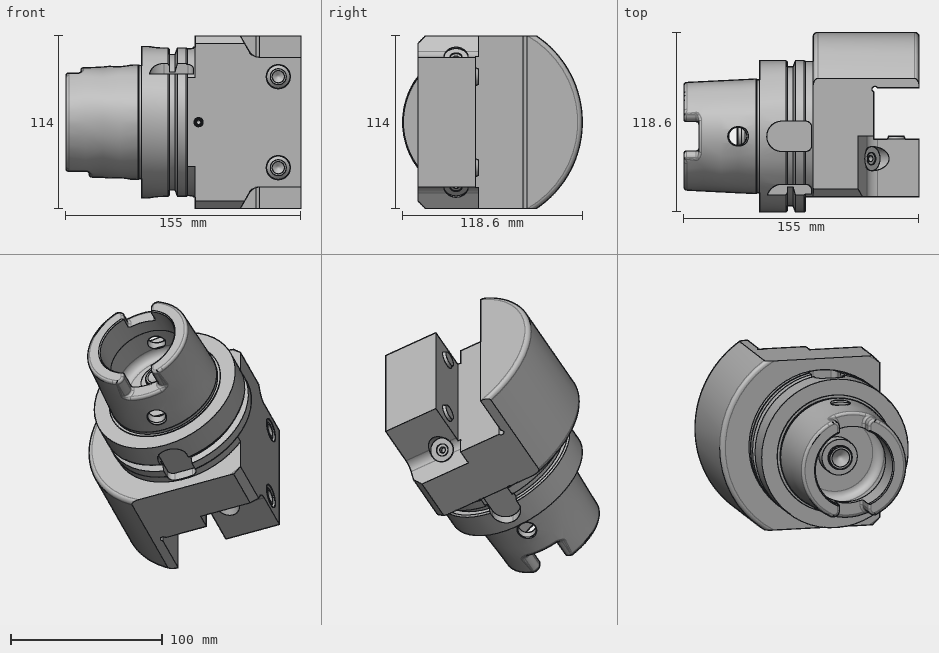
import cadquery as cq
import math


TAPER_END_RADIUS = 35.5
TAPER_LENGTH = 47.6
TAPER_SLOPE = 0.05
END_FILLET = 2.0
RELIEF_END = 48.2
RELIEF_DEPTH = 0.5
FACE_GROOVE_RADIUS = 39.4
FACE_GROOVE_DEPTH = 0.5

MOUTH_RADIUS = 26.4
MOUTH_CHAMFER = 0.8
MOUTH_LENGTH = 19.5
CAVITY_RADIUS = 31.0
CAVITY_FLOOR = 46.5
CAVITY_FILLET = 6.2

BOSS_DIAMETER = 24.0
BOSS_FACE = 37.8

ACCESS_X = 35.5
ACCESS_DIAMETER = 12.0
ACCESS_RIM_DIAMETER = 14.0
CHAMFER_CLEARANCE = 0.002

DRIVE_HALF_WIDTH = 9.6
DRIVE_WALL_TOP = 27.9
DRIVE_FLARE = 4.5
DRIVE_FLOOR_FILLET = 1.7
DRIVE_MOUTH_FILLET = 1.7
DRIVE_DEPTH_TOP = 9.8
DRIVE_DEPTH_BOTTOM = 15.2

FLANGE_START = 49.9
FLANGE_RADIUS = 49.99
FLANGE_END = 80.0
FLANGE_CHAMFER = 0.8
GROOVE_RADIUS = 45.9
GROOVE_CHAMFER = 1.1
GROOVE_START = 67.1
GROOVE_FLOOR_END = 71.9
GROOVE_END = 73.5
NECK_RADIUS = 49.5

KEYWAY_START = 54.5
KEYWAY_END = 84.2
KEYWAY_WIDTH = 20.0
KEYWAY_CORNER = 3.9
KEYWAY_FLOOR = 42.8
NOTCH_INNER = 31.6
ROUND_END_CLEARANCE = 0.002

BLOCK_START = 85.1
BLOCK_END = 155.0
BLOCK_HEIGHT = 114.0
BLOCK_FRONT = -39.8
BLOCK_RADIUS = 68.59
BLOCK_FILLET = 3.1
FRONT_CHAMFER = 5.0

TOOL_SLOT_START = 125.2
TOOL_SLOT_FRONT = -1.9
TOOL_SLOT_BACK = 32.0
CORNER_RELIEF_RADIUS = 1.9
CORNER_RELIEF_INSET = (0.6, 1.0)

STEP_START = 114.9
STEP_HEIGHT = 42.8
STEP_BACK = 0.2
STEP_SLOPE = 60.0
STEP_FILLET = 7.9

OUTLET_TILT = 46.0
OUTLET_CENTRE = (123.7, -14.7, 42.8)
OUTLET_DIAMETER = 16.0
OUTLET_REACH = 18.6
OUTLET_RECESS_DIAMETER = 8.0
OUTLET_RECESS_DEPTH = 0.8
OUTLET_BORE_DIAMETER = 4.0
OUTLET_BORE_DEPTH = 4.6

CLAMP_X = 140.0
CLAMP_SPACING = 60.0
CLAMP_RIM_DIAMETER = 16.0
CLAMP_HOLE_DIAMETER = 15.3
CLAMP_FACE_DIAMETER = 10.5
CLAMP_SOCKET_DIAMETER = 8.0
CLAMP_RIM_DEPTH = 0.3
CLAMP_FACE_DEPTH = 0.6
CLAMP_EDGE_DEPTH = 2.5
CLAMP_SOCKET_DEPTH = 3.0
CLAMP_TIP_DIAMETER = 12.0
CLAMP_TIP_LENGTH = 2.0
CLAMP_TIP_TAPER = 25.0

STOP_X = 87.4
STOP_RIM_DIAMETER = 6.0
STOP_FACE_DIAMETER = 5.3
STOP_SOCKET_DIAMETER = 4.3
STOP_SOCKET_FLOOR_DIAMETER = 3.0
STOP_FACE_DEPTH = 0.5
STOP_SOCKET_DEPTH = 1.5
STOP_POINT_DEPTH = 2.3

PLUG_START = 34.9
PLUG_LENGTH = 15.5
PLUG_DIAMETER = 16.0
PLUG_CHAMFER = 0.6
PLUG_SOCKET_DIAMETER = 12.0
PLUG_SOCKET_DEPTH = 3.5

OVERCUT = 7.8
PICK_MARGIN = 0.2
HALF_HEIGHT = BLOCK_HEIGHT / 2


def turned(points):
    """Solid of revolution about X from (x, radius) points."""
    return cq.Workplane("XY").polyline(points).close().revolve(360, (0, 0, 0), (1, 0, 0))


def turned_down(x, z, points):
    """Solid of revolution, sunk in the block's front face, from (radius, depth) points."""
    profile = [(radius, -depth) for radius, depth in points]
    solid = cq.Workplane("XY").polyline(profile).close().revolve(360, (0, 0, 0), (0, 1, 0))
    return solid.rotate((0, 0, 0), (0, 0, 1), 180).translate((x, BLOCK_FRONT, z))


def both_sides(body):
    """The body together with its mirror image below the XY plane."""
    return body.union(body.mirror("XY"))


def drive_slot(depth):
    """Slot across the shank end whose walls flare outward in arcs."""
    side = DRIVE_HALF_WIDTH + DRIVE_FLARE
    flare_top = DRIVE_WALL_TOP + DRIVE_FLARE
    bend = DRIVE_FLARE * math.sqrt(0.5)
    bend_y = side - bend
    bend_z = DRIVE_WALL_TOP + bend
    outside = TAPER_END_RADIUS + OVERCUT
    slot = (
        cq.Workplane("YZ")
        .moveTo(-DRIVE_HALF_WIDTH, 0)
        .lineTo(DRIVE_HALF_WIDTH, 0)
        .lineTo(DRIVE_HALF_WIDTH, DRIVE_WALL_TOP)
        .threePointArc((bend_y, bend_z), (side, flare_top))
        .lineTo(outside, flare_top)
        .lineTo(outside, outside)
        .lineTo(-outside, outside)
        .lineTo(-outside, flare_top)
        .lineTo(-side, flare_top)
        .threePointArc((-bend_y, bend_z), (-DRIVE_HALF_WIDTH, DRIVE_WALL_TOP))
        .close()
        .extrude(depth)
    )
    return slot.faces(">X").edges().fillet(DRIVE_FLOOR_FILLET)


def shank_blank():
    """Taper shank and grooved flange, turned as one solid piece."""
    taper_radius = TAPER_END_RADIUS + TAPER_SLOPE * TAPER_LENGTH
    relief_radius = taper_radius - RELIEF_DEPTH
    face_groove_floor = FLANGE_START + FACE_GROOVE_DEPTH
    return turned([
        (0, 0),
        (0, TAPER_END_RADIUS),
        (TAPER_LENGTH, taper_radius),
        (RELIEF_END, relief_radius),
        (face_groove_floor, relief_radius),
        (face_groove_floor, FACE_GROOVE_RADIUS),
        (FLANGE_START, FACE_GROOVE_RADIUS),
        (FLANGE_START, FLANGE_RADIUS),
        (GROOVE_START, FLANGE_RADIUS),
        (GROOVE_START + GROOVE_CHAMFER, FLANGE_RADIUS - GROOVE_CHAMFER),
        (GROOVE_START + GROOVE_CHAMFER, GROOVE_RADIUS),
        (GROOVE_FLOOR_END, GROOVE_RADIUS),
        (GROOVE_END, FLANGE_RADIUS),
        (FLANGE_END - FLANGE_CHAMFER, FLANGE_RADIUS),
        (FLANGE_END, NECK_RADIUS),
        (FLANGE_END, 0),
    ])


def bore():
    """Bore with a wider cavity behind the mouth; a boss is left standing on the cavity floor."""
    mouth = turned([
        (0, 0),
        (0, MOUTH_RADIUS + MOUTH_CHAMFER),
        (MOUTH_CHAMFER, MOUTH_RADIUS),
        (MOUTH_LENGTH, MOUTH_RADIUS),
        (MOUTH_LENGTH, 0),
    ])
    cavity = (
        cq.Workplane("YZ", origin=(MOUTH_LENGTH, 0, 0))
        .circle(CAVITY_RADIUS)
        .extrude(CAVITY_FLOOR - MOUTH_LENGTH)
        .faces(">X").edges().fillet(CAVITY_FILLET)
    )
    boss = (
        cq.Workplane("YZ", origin=(BOSS_FACE, 0, 0))
        .circle(BOSS_DIAMETER / 2)
        .extrude(CAVITY_FLOOR - BOSS_FACE)
    )
    return mouth.union(cavity).cut(boss)


def access_hole():
    """Radial hole with a chamfered rim, reaching from the taper to the cavity radius."""
    surface = TAPER_END_RADIUS + TAPER_SLOPE * ACCESS_X
    hole_radius = ACCESS_DIAMETER / 2
    rim_radius = ACCESS_RIM_DIAMETER / 2
    rim_bottom = surface - (rim_radius - hole_radius)
    rim_top = surface + OVERCUT
    hole = cq.Workplane("XY").circle(hole_radius).extrude(rim_top)
    rim = (
        cq.Workplane("XY", origin=(0, 0, rim_bottom))
        .circle(rim_radius)
        .extrude(rim_top - rim_bottom)
        .faces("<Z").chamfer(rim_radius - hole_radius - CHAMFER_CLEARANCE)
    )
    hole = hole.union(rim).translate((ACCESS_X, 0, 0))
    core = cq.Workplane("YZ").circle(CAVITY_RADIUS).extrude(BLOCK_START)
    return hole.cut(core)


def keyway(centre_y, floor):
    """Milled keyway with a round left end and small corners at the right end."""
    length = KEYWAY_END - KEYWAY_START
    round_end = KEYWAY_WIDTH / 2 - ROUND_END_CLEARANCE
    return (
        cq.Workplane("XY", origin=(KEYWAY_START, centre_y, floor))
        .rect(length, KEYWAY_WIDTH, centered=(False, True))
        .extrude(FLANGE_RADIUS + OVERCUT - floor)
        .edges("|Z and <X").fillet(round_end)
        .edges("|Z and >X").fillet(KEYWAY_CORNER)
    )


def shank():
    """Hollow taper shank with its flange, drive slots and access holes."""
    slot_half = DRIVE_HALF_WIDTH + DRIVE_FLARE
    slot_rims = cq.selectors.BoxSelector(
        (-PICK_MARGIN, -slot_half, -FLANGE_RADIUS), (PICK_MARGIN, slot_half, FLANGE_RADIUS)
    )
    outer_rim = cq.selectors.RadiusNthSelector(-1)
    body = shank_blank()
    body = body.cut(drive_slot(DRIVE_DEPTH_TOP))
    body = body.cut(drive_slot(DRIVE_DEPTH_BOTTOM).mirror("XY"))
    body = body.edges(slot_rims).fillet(DRIVE_MOUTH_FILLET)
    body = body.faces("<X").edges("%CIRCLE").edges(outer_rim).fillet(END_FILLET)
    body = body.cut(both_sides(access_hole()))
    return body.cut(bore())


def block_blank():
    """Rectangular bar with chamfered front edges, turned round at the back and the ends."""
    length = BLOCK_END - BLOCK_START
    depth = BLOCK_RADIUS - BLOCK_FRONT
    bar = (
        cq.Workplane("XY", origin=(BLOCK_START, BLOCK_FRONT, 0))
        .box(length, depth, BLOCK_HEIGHT, centered=(False, False, True))
        .edges("|X and <Y").chamfer(FRONT_CHAMFER)
    )
    turned_bar = (
        cq.Workplane("YZ", origin=(BLOCK_START, 0, 0))
        .circle(BLOCK_RADIUS)
        .extrude(length)
        .edges().fillet(BLOCK_FILLET)
    )
    return bar.intersect(turned_bar)


def neck():
    """Round neck behind the flange, cut flush with the block's front face."""
    length = BLOCK_START - FLANGE_END
    cylinder = cq.Workplane("YZ", origin=(FLANGE_END, 0, 0)).circle(NECK_RADIUS).extrude(length)
    keep = cq.Workplane("XY", origin=(FLANGE_END, BLOCK_FRONT, 0)).box(
        length, 2 * NECK_RADIUS, 2 * NECK_RADIUS, centered=(False, False, True)
    )
    return cylinder.intersect(keep)


def tool_slot():
    """Slot through the full height, with a round relief in its back inner corner."""
    slot = (
        cq.Workplane("XY", origin=(0, 0, -HALF_HEIGHT))
        .moveTo(TOOL_SLOT_START, TOOL_SLOT_FRONT)
        .lineTo(BLOCK_END, TOOL_SLOT_FRONT)
        .lineTo(BLOCK_END, TOOL_SLOT_BACK)
        .lineTo(TOOL_SLOT_START, TOOL_SLOT_BACK)
        .close()
        .extrude(BLOCK_HEIGHT)
    )
    inset_x, inset_y = CORNER_RELIEF_INSET
    relief = (
        cq.Workplane("XY", origin=(0, 0, -HALF_HEIGHT))
        .center(TOOL_SLOT_START + inset_x, TOOL_SLOT_BACK - inset_y)
        .circle(CORNER_RELIEF_RADIUS)
        .extrude(BLOCK_HEIGHT)
    )
    return slot.union(relief)


def jaw_step():
    """Step with a steep slope that runs into its floor in a fillet."""
    drop = HALF_HEIGHT - STEP_HEIGHT
    slope_foot = STEP_START + drop / math.tan(math.radians(STEP_SLOPE))
    return (
        cq.Workplane("XZ", origin=(0, STEP_BACK, 0))
        .moveTo(STEP_START, HALF_HEIGHT)
        .lineTo(slope_foot, STEP_HEIGHT)
        .lineTo(BLOCK_END, STEP_HEIGHT)
        .lineTo(BLOCK_END, HALF_HEIGHT)
        .close()
        .extrude(STEP_BACK - BLOCK_FRONT)
        .edges(cq.selectors.NearestToPointSelector((slope_foot, BLOCK_FRONT / 2, STEP_HEIGHT)))
        .fillet(STEP_FILLET)
    )


def coolant_outlet():
    """Tilted spot face with a shallow recess and a small bore in its floor."""
    spot = cq.Workplane("XY").circle(OUTLET_DIAMETER / 2).extrude(OUTLET_REACH)
    recess = cq.Workplane("XY").circle(OUTLET_RECESS_DIAMETER / 2).extrude(-OUTLET_RECESS_DEPTH)
    passage = cq.Workplane("XY").circle(OUTLET_BORE_DIAMETER / 2).extrude(-OUTLET_BORE_DEPTH)
    outlet = spot.union(recess).union(passage)
    return outlet.rotate((0, 0, 0), (0, 1, 0), OUTLET_TILT).translate(OUTLET_CENTRE)


def clamp_socket(z):
    """Sunk clamp end: a hole rim, a bevelled screw end and its conical socket."""
    return turned_down(CLAMP_X, z, [
        (0, 0),
        (CLAMP_RIM_DIAMETER / 2, 0),
        (CLAMP_HOLE_DIAMETER / 2, CLAMP_RIM_DEPTH),
        (CLAMP_HOLE_DIAMETER / 2, CLAMP_EDGE_DEPTH),
        (CLAMP_FACE_DIAMETER / 2, CLAMP_FACE_DEPTH),
        (CLAMP_SOCKET_DIAMETER / 2, CLAMP_FACE_DEPTH),
        (0, CLAMP_SOCKET_DEPTH),
    ])


def clamp_tip(z):
    """Tapered screw tip that stands out of the jaw into the tool slot."""
    return (
        cq.Workplane("XZ", origin=(CLAMP_X, TOOL_SLOT_FRONT, z))
        .circle(CLAMP_TIP_DIAMETER / 2)
        .extrude(-CLAMP_TIP_LENGTH, taper=CLAMP_TIP_TAPER)
    )


def stopped_hole():
    """Small stopped hole with a bevelled rim and a pointed socket."""
    return turned_down(STOP_X, 0, [
        (0, 0),
        (STOP_RIM_DIAMETER / 2, 0),
        (STOP_FACE_DIAMETER / 2, STOP_FACE_DEPTH),
        (STOP_SOCKET_DIAMETER / 2, STOP_FACE_DEPTH),
        (STOP_SOCKET_FLOOR_DIAMETER / 2, STOP_SOCKET_DEPTH),
        (0, STOP_POINT_DEPTH),
    ])


def plug_blank():
    """Outer shape of the screw plug, which is also the shape of its hole in the boss."""
    return (
        cq.Workplane("YZ", origin=(PLUG_START, 0, 0))
        .circle(PLUG_DIAMETER / 2)
        .extrude(PLUG_LENGTH)
        .faces("<X").chamfer(PLUG_CHAMFER)
    )


def build_plug():
    socket = turned([
        (PLUG_START, 0),
        (PLUG_START, PLUG_SOCKET_DIAMETER / 2),
        (PLUG_START + PLUG_SOCKET_DEPTH, 0),
    ])
    return plug_blank().cut(socket)


def build_housing():
    body = shank().union(neck())
    body = body.cut(both_sides(keyway(0, KEYWAY_FLOOR)))
    body = body.cut(keyway(-NOTCH_INNER - KEYWAY_WIDTH / 2, NOTCH_INNER))
    body = body.union(block_blank())
    body = body.cut(tool_slot()).cut(both_sides(jaw_step()))
    body = body.cut(both_sides(coolant_outlet()))
    for z in (-CLAMP_SPACING / 2, CLAMP_SPACING / 2):
        body = body.cut(clamp_socket(z)).union(clamp_tip(z))
    return body.cut(stopped_hole()).cut(plug_blank())


housing = build_housing()
plug = build_plug()
result = cq.Compound.makeCompound([housing.val(), plug.val()])